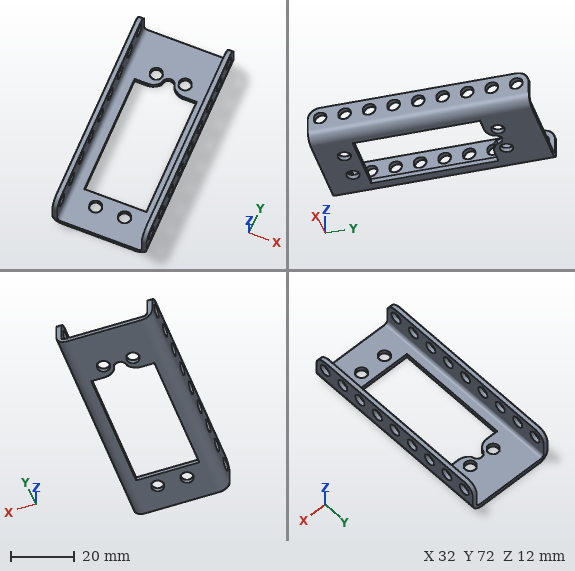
import cadquery as cq
import math

length = 72.0
width = 32.0
height = 12.0
thickness = 1.65
outer_bend_radius = 3.75
inner_bend_radius = 1.3
flange_corner_radius = 4.0

hole_diameter = 4.2
flange_hole_count = 9
flange_hole_pitch = 8.0
flange_hole_z = height - flange_corner_radius
base_hole_spacing = 9.8
base_hole_rows = (-27.15, 22.9)

window_width = 21.0
window_front = -22.8
window_back = 18.65
notch_radius = 2.15
notch_tip = 22.8
shoulder_radius = 5.0
shoulder_center_x = 6.1


def make_channel():
    """U-shaped channel with bent lower edges, open upwards."""
    outer = (
        cq.Workplane("XY")
        .box(width, length, height, centered=(True, True, False))
        .edges("|Y and <Z")
        .fillet(outer_bend_radius)
    )
    inner = (
        cq.Workplane("XY", origin=(0, 0, thickness))
        .box(width - 2 * thickness, length, height, centered=(True, True, False))
        .edges("|Y and <Z")
        .fillet(inner_bend_radius)
    )
    channel = outer.cut(inner)
    return channel.edges("|X and >Z").fillet(flange_corner_radius)


def make_flange_holes():
    """Row of cross holes running through both flanges."""
    return (
        cq.Workplane("YZ", origin=(-width / 2, 0, flange_hole_z))
        .rarray(flange_hole_pitch, 0.7, flange_hole_count, 1)
        .circle(hole_diameter / 2)
        .extrude(width)
    )


def make_base_holes():
    """Pair of holes beyond each end of the window."""
    centers = [(side * base_hole_spacing / 2, y) for side in (-1, 1) for y in base_hole_rows]
    return cq.Workplane("XY").pushPoints(centers).circle(hole_diameter / 2).extrude(thickness)


def make_window():
    """Rectangular window whose back edge flares through convex shoulders into the notch."""
    half_width = window_width / 2
    notch_base = notch_tip - notch_radius
    shoulder_center_y = window_back + shoulder_radius

    end_angle = math.acos((shoulder_center_y - notch_base) / shoulder_radius)
    shoulder_end_x = shoulder_center_x - shoulder_radius * math.sin(end_angle)
    shoulder_mid_x = shoulder_center_x - shoulder_radius * math.sin(end_angle / 2)
    shoulder_mid_y = shoulder_center_y - shoulder_radius * math.cos(end_angle / 2)

    return (
        cq.Workplane("XY")
        .moveTo(-half_width, window_front)
        .lineTo(half_width, window_front)
        .lineTo(half_width, window_back)
        .lineTo(shoulder_center_x, window_back)
        .threePointArc((shoulder_mid_x, shoulder_mid_y), (shoulder_end_x, notch_base))
        .threePointArc((0, notch_tip), (-shoulder_end_x, notch_base))
        .threePointArc((-shoulder_mid_x, shoulder_mid_y), (-shoulder_center_x, window_back))
        .lineTo(-half_width, window_back)
        .close()
        .extrude(thickness)
    )


result = make_channel().cut(make_flange_holes()).cut(make_base_holes()).cut(make_window())